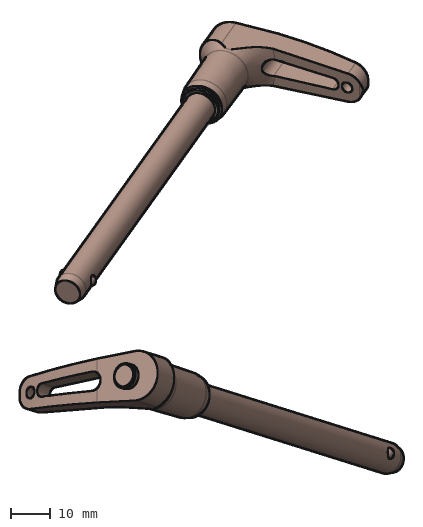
import cadquery as cq
import math


total_length = 124.46
handle_height = 12.69
handle_length = 44.16

head_radius = handle_height / 2
head_center_x = -2.5
tip_radius = 4.2
tip_center_x = head_center_x - head_radius + handle_length - tip_radius
head_end_x = head_center_x - head_radius
tip_end_x = tip_center_x + tip_radius

head_top_y = -1.9
crown_x = 9.0
crown_y = -1.6
top_arc_mid_x = 22.0
top_arc_mid_y = -3.0
tip_top_y = -6.3
tip_bottom_y = -11.0
arm_root_y = -7.55
tip_corner_radius = 0.7

slot_wide_x = 10.5
slot_wide_radius = 2.45
slot_narrow_x = 27.0
slot_narrow_radius = 1.7
lanyard_hole_diameter = 2.9

flare_start_y = -14.7
flare_radius = 6.15
flare_top_y = -7.0

sleeve_top_radius = 6.1
sleeve_bottom_radius = 5.9
sleeve_bottom_y = -28.95
sleeve_end_radius = 5.5
sleeve_end_y = -31.2
collar_radius = 4.8
collar_end_y = -32.25

shaft_radius = 4.0
shaft_end_radius = 3.35
shaft_chamfer_length = 2.4
button_radius = 3.2
button_chamfer = 0.4
ball_radius = 1.5
ball_center_radius = 3.3
ball_y = -117.3


def tapered_outline(start_x, start_radius, end_x, end_radius):
    """XZ outline around two circles on the X axis, joined by their outer tangents."""
    tangent_angle = math.asin((start_radius - end_radius) / (end_x - start_x))
    sine = math.sin(tangent_angle)
    cosine = math.cos(tangent_angle)
    start_tangent_x = start_x + start_radius * sine
    start_tangent_z = start_radius * cosine
    end_tangent_x = end_x + end_radius * sine
    end_tangent_z = end_radius * cosine
    return (
        cq.Workplane("XZ")
        .moveTo(start_tangent_x, start_tangent_z)
        .lineTo(end_tangent_x, end_tangent_z)
        .threePointArc((end_x + end_radius, 0), (end_tangent_x, -end_tangent_z))
        .lineTo(start_tangent_x, -start_tangent_z)
        .threePointArc((start_x - start_radius, 0), (start_tangent_x, start_tangent_z))
        .close()
    )


def revolve_about_pin_axis(profile):
    return profile.close().revolve(360, (0, 0, 0), (0, 1, 0))


def make_arm():
    """Side profile of the handle, as wide as the head."""
    return (
        cq.Workplane("XY")
        .moveTo(head_end_x, arm_root_y)
        .lineTo(head_end_x, head_top_y)
        .lineTo(crown_x, crown_y)
        .threePointArc((top_arc_mid_x, top_arc_mid_y), (tip_end_x, tip_top_y))
        .lineTo(tip_end_x, tip_bottom_y)
        .lineTo(0, arm_root_y)
        .close()
        .extrude(head_radius, both=True)
        .edges("|Z and >X")
        .fillet(tip_corner_radius)
    )


def make_flare():
    """Trumpet-shaped neck, running parallel to the pin axis at its lower end."""
    outer_radius = sleeve_top_radius + flare_radius
    mid_offset = flare_radius * math.sqrt(0.5)
    profile = (
        cq.Workplane("XY")
        .moveTo(0, flare_start_y)
        .lineTo(sleeve_top_radius, flare_start_y)
        .threePointArc(
            (outer_radius - mid_offset, flare_start_y + mid_offset),
            (outer_radius, flare_start_y + flare_radius),
        )
        .lineTo(outer_radius, flare_top_y)
        .lineTo(0, flare_top_y)
    )
    return revolve_about_pin_axis(profile)


def make_handle():
    plan = tapered_outline(head_center_x, head_radius, tip_center_x, tip_radius).extrude(total_length)
    slot = tapered_outline(
        slot_wide_x, slot_wide_radius, slot_narrow_x, slot_narrow_radius
    ).extrude(total_length)
    lanyard_hole = (
        cq.Workplane("XZ").center(tip_center_x, 0).circle(lanyard_hole_diameter / 2).extrude(total_length)
    )
    return make_arm().union(make_flare()).intersect(plan).cut(slot).cut(lanyard_hole)


def make_pin():
    """Button, sleeve, collar and shaft as one turned body."""
    profile = (
        cq.Workplane("XY")
        .moveTo(0, 0)
        .lineTo(button_radius - button_chamfer, 0)
        .lineTo(button_radius, -button_chamfer)
        .lineTo(button_radius, flare_start_y)
        .lineTo(sleeve_top_radius, flare_start_y)
        .lineTo(sleeve_bottom_radius, sleeve_bottom_y)
        .lineTo(sleeve_end_radius, sleeve_end_y)
        .lineTo(collar_radius, sleeve_end_y)
        .lineTo(collar_radius, collar_end_y)
        .lineTo(shaft_radius, collar_end_y)
        .lineTo(shaft_radius, shaft_chamfer_length - total_length)
        .lineTo(shaft_end_radius, -total_length)
        .lineTo(0, -total_length)
    )
    return revolve_about_pin_axis(profile)


def make_ball(side):
    return cq.Workplane("XY").sphere(ball_radius).translate((side * ball_center_radius, ball_y, 0))


result = make_handle().union(make_pin())
for side in (-1, 1):
    result = result.union(make_ball(side))